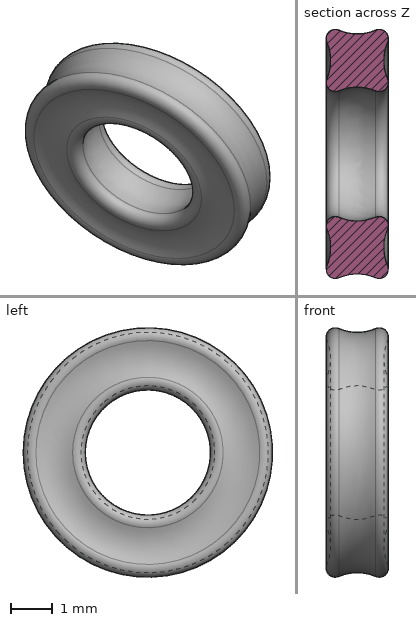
import cadquery as cq
import math

outer_diameter = 6.0
section_width = 1.5
lobe_radius = 0.22
groove_depth = 0.11

half_width = section_width / 2
section_centre_radius = outer_diameter / 2 - half_width
lobe_offset = half_width - lobe_radius

centre_distance = (lobe_offset**2 + groove_depth**2) / (2 * groove_depth)
tangent_along = lobe_offset * (1 - lobe_radius / centre_distance)
tangent_height = lobe_offset + lobe_radius * (centre_distance - groove_depth) / centre_distance
lobe_tip = lobe_offset + lobe_radius * math.sqrt(0.5)
groove_bottom = half_width - groove_depth


def section_point(along, height, quarter_turns):
    """Turn a point of the top side about the section centre, in quarter turns clockwise."""
    for _ in range(quarter_turns):
        along, height = height, -along
    return (along, section_centre_radius + height)


def make_section():
    """Closed outline of alternating hollows and corner lobes."""
    outline = cq.Workplane("XY").moveTo(*section_point(-tangent_along, tangent_height, 0))
    for side in range(4):
        outline = outline.threePointArc(
            section_point(0, groove_bottom, side),
            section_point(tangent_along, tangent_height, side),
        )
        outline = outline.threePointArc(
            section_point(lobe_tip, lobe_tip, side),
            section_point(tangent_height, tangent_along, side),
        )
    return outline.close()


result = make_section().revolve(360, (0, 0, 0), (1, 0, 0))